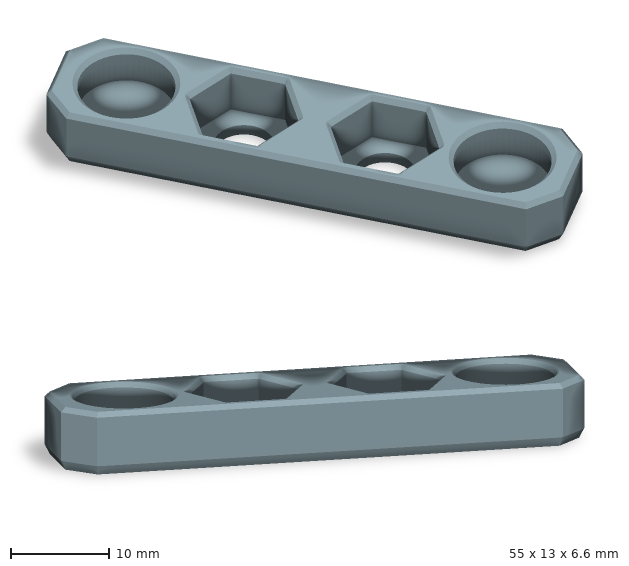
import cadquery as cq
import math

length = 55.0
width = 13.0
height = 6.6
corner_cut = 3.0
edge_inset = 0.5
bottom_chamfer_height = 1.0

round_spacing = 40.05
round_diameter = 10.0
round_depth = 4.0

hex_spacing = 15.0
hex_across_flats = 10.0
hex_depth = 5.35
bolt_diameter = 6.3


def octagon(size_x, size_y, cut, z):
    """Closed rectangle outline with cut corners, at height z."""
    x = size_x / 2
    y = size_y / 2
    points = [
        (x, y - cut), (x - cut, y), (cut - x, y), (-x, y - cut),
        (-x, cut - y), (cut - x, -y), (x - cut, -y), (x, cut - y),
    ]
    return cq.Workplane("XY", origin=(0, 0, z)).polyline(points).close()


def make_body():
    """Bar with cut corners, a 45 degree top chamfer and a steeper bottom chamfer."""
    bar = octagon(length, width, corner_cut, 0).extrude(height)
    bar = bar.faces(">Z").edges().chamfer(edge_inset)

    taper = math.degrees(math.atan2(edge_inset, bottom_chamfer_height))
    inset_cut = corner_cut - edge_inset * (2 - math.sqrt(2))
    envelope = octagon(length - 2 * edge_inset, width - 2 * edge_inset, inset_cut, 0)
    envelope = envelope.extrude(height, taper=-taper)
    return bar.intersect(envelope)


def round_pocket(x):
    """Cutter for a flat-bottomed round pocket with a chamfered mouth."""
    radius = round_diameter / 2
    profile = [
        (0, height - round_depth),
        (radius, height - round_depth),
        (radius, height - edge_inset),
        (radius + edge_inset, height),
        (0, height),
    ]
    cutter = cq.Workplane("XZ").polyline(profile).close().revolve(360, (0, 0, 0), (0, 1, 0))
    return cutter.translate((x, 0, 0))


def hexagon(x, across_flats, z):
    """Hexagon outline with two corners pointing along X."""
    across_corners = across_flats / math.cos(math.pi / 6)
    return cq.Workplane("XY", origin=(x, 0, z)).polygon(6, across_corners)


def hex_pocket(x):
    """Cutter for a nut pocket with a chamfered mouth and a hole through its floor."""
    pocket = hexagon(x, hex_across_flats, height - hex_depth).extrude(hex_depth)
    mouth = hexagon(x, hex_across_flats, height - edge_inset).extrude(edge_inset, taper=-45)
    hole = cq.Workplane("XY", origin=(x, 0, 0)).circle(bolt_diameter / 2).extrude(height)
    return pocket.union(mouth).union(hole)


result = make_body()
for side in (-1, 1):
    result = result.cut(round_pocket(side * round_spacing / 2))
    result = result.cut(hex_pocket(side * hex_spacing / 2))